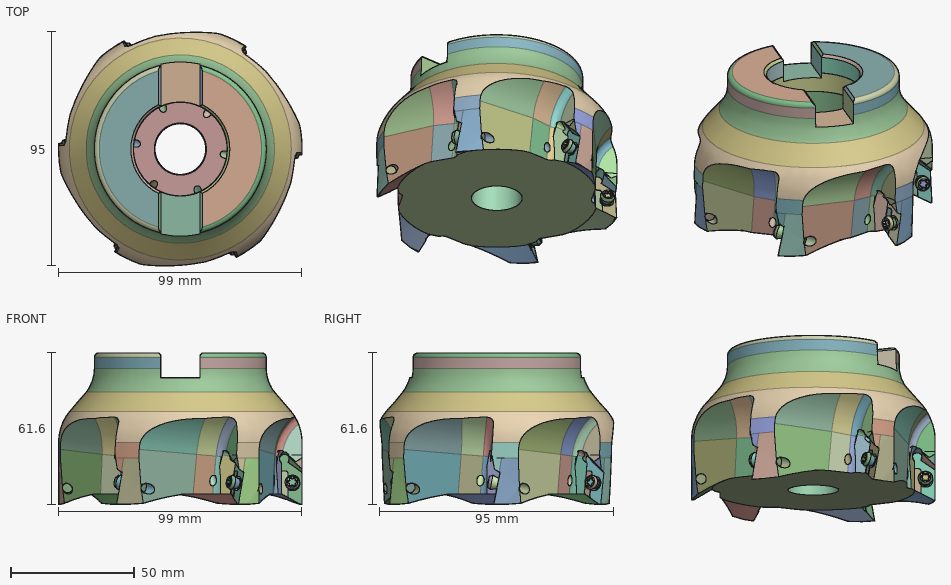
import cadquery as cq
import math

TOOTH_COUNT = 6
FIRST_TOOTH_ANGLE = -1.5
REACH = 79.2

HEIGHT = 61.6
RADIUS = 49.5
NECK_RADIUS = 35.0
TOP_ROUND = 2.0
NECK_BOTTOM = 55.2
SHOULDER_SLOPE = 38.5
NECK_FILLET = 15.3
SHOULDER_FILLET = 20.3
CYLINDER_TOP = 25.1
RIM_RADIUS = 48.8
DISH_RADIUS = 41.3
DISH_HEIGHT = 4.2

BORE_RADIUS = 19.0
BORE_CHAMFER = 1.1
BORE_FLOOR = 32.7
RELIEF_TOP = 53.7
RELIEF_BOTTOM = 45.5
RELIEF_DEPTH = 0.1
HOLE_RADIUS = 10.3
HOLE_CHAMFER = 0.3
SLOT_WIDTH = 15.8
SLOT_FLOOR = 51.5
SLOT_CHAMFER = 1.0

LAND_TOP = 18.8
LAND_OFFSET = 6.4
LAND_SPAN = 0.6

POCKET_TILT = -5.0
POCKET_TILT_AZIMUTH = -28.5
WALL_RADIUS = 37.8
CREASE_OFFSET = -15.1
WALL_BEND = 13.7
COVE_START = 20.8
COVE_RADIUS = 21.8
RAKE_OFFSET = -2.5
RAKE_TURN = 4.0
CORNER_FILLET = 3.0

SEAT_TILT = 11.0
SEAT_INNER = 41.0
SEAT_TOP = 19.4
SEAT_TOP_SLOPE = 36.5
SEAT_WALL_DRAFT = 18.0
SEAT_CUT_DEPTH = 5.9
CORNER_RELIEF_RADIUS = 2.0
CORNER_RELIEF_X = 42.2
CORNER_RELIEF_Y = 18.7
GROOVE_OUTER = 43.8
GROOVE_TOP = 13.9
GROOVE_DEPTH = 0.3
GROOVE_CORNER = 1.2
BEVEL_TOP = 20.0
BEVEL_OFFSET = -0.8
BEVEL_HEIGHT = 6.9
BEVEL_ANGLE = 11.0

SCREW_X = 45.5
SCREW_Y = 8.6
COUNTERSINK_RADIUS = 3.0
COUNTERSINK_DEPTH = 0.9
SHANK_RADIUS = 2.1
SCREW_END = 8.9
HEAD_RADIUS = 3.0
HEAD_FACE_RADIUS = 2.3
HEAD_HEIGHT = 4.0
HEAD_WIDEST = 2.6
SOCKET_RADIUS = 1.4
SOCKET_LOBE = 0.5
SOCKET_LOBE_COUNT = 6
SOCKET_DEPTH = 1.5

COOLANT_RADIUS = 1.5
COOLANT_INLET = (18.2, -1.8, BORE_FLOOR)
COOLANT_OUTLET = (38.2, -5.6, 9.7)
COOLANT_LEAD = 0.1
COOLANT_STRETCH = 1.3


def turned_blank():
    """Body of revolution with its bore and dished bottom."""
    slope = math.radians(SHOULDER_SLOPE)
    half = slope / 2
    neck_end = (
        NECK_RADIUS + NECK_FILLET * (1 - math.cos(slope)),
        NECK_BOTTOM - NECK_FILLET * math.sin(slope),
    )
    neck_mid = (
        NECK_RADIUS + NECK_FILLET * (1 - math.cos(half)),
        NECK_BOTTOM - NECK_FILLET * math.sin(half),
    )
    shoulder_start = (
        RADIUS - SHOULDER_FILLET * (1 - math.cos(slope)),
        CYLINDER_TOP + SHOULDER_FILLET * math.sin(slope),
    )
    shoulder_mid = (
        RADIUS - SHOULDER_FILLET * (1 - math.cos(half)),
        CYLINDER_TOP + SHOULDER_FILLET * math.sin(half),
    )
    relief_radius = BORE_RADIUS + RELIEF_DEPTH
    return (
        cq.Workplane("XZ")
        .moveTo(BORE_RADIUS + BORE_CHAMFER, HEIGHT)
        .lineTo(NECK_RADIUS - TOP_ROUND, HEIGHT)
        .radiusArc((NECK_RADIUS, HEIGHT - TOP_ROUND), TOP_ROUND)
        .lineTo(NECK_RADIUS, NECK_BOTTOM)
        .threePointArc(neck_mid, neck_end)
        .lineTo(*shoulder_start)
        .threePointArc(shoulder_mid, (RADIUS, CYLINDER_TOP))
        .lineTo(RADIUS, 0)
        .lineTo(RIM_RADIUS, 0)
        .lineTo(DISH_RADIUS, DISH_HEIGHT)
        .lineTo(HOLE_RADIUS, DISH_HEIGHT)
        .lineTo(HOLE_RADIUS, BORE_FLOOR - HOLE_CHAMFER)
        .lineTo(HOLE_RADIUS + HOLE_CHAMFER, BORE_FLOOR)
        .lineTo(BORE_RADIUS, BORE_FLOOR)
        .lineTo(BORE_RADIUS, RELIEF_BOTTOM)
        .lineTo(relief_radius, RELIEF_BOTTOM)
        .lineTo(relief_radius, RELIEF_TOP)
        .lineTo(BORE_RADIUS, RELIEF_TOP)
        .lineTo(BORE_RADIUS, HEIGHT - BORE_CHAMFER)
        .close()
        .revolve(360, (0, 0, 0), (0, 1, 0))
    )


def drive_slot():
    """Cutter for the slot across the top, with chamfered upper edges."""
    half = SLOT_WIDTH / 2
    return (
        cq.Workplane("XZ")
        .moveTo(-half, SLOT_FLOOR)
        .lineTo(half, SLOT_FLOOR)
        .lineTo(half, HEIGHT - SLOT_CHAMFER)
        .lineTo(half + SLOT_CHAMFER, HEIGHT)
        .lineTo(-half - SLOT_CHAMFER, HEIGHT)
        .lineTo(-half, HEIGHT - SLOT_CHAMFER)
        .close()
        .extrude(REACH, both=True)
    )


def cove_prism():
    """Straight run of pocket wall with its cove, along Y at the inner wall."""
    return (
        cq.Workplane("XZ")
        .moveTo(WALL_RADIUS, -REACH / 4)
        .lineTo(WALL_RADIUS, COVE_START)
        .radiusArc((WALL_RADIUS + COVE_RADIUS, COVE_START + COVE_RADIUS), COVE_RADIUS)
        .lineTo(REACH, COVE_START + COVE_RADIUS)
        .lineTo(REACH, -REACH / 4)
        .close()
        .extrude(REACH, both=True)
    )


def chip_pocket():
    """Cutter for one chip pocket: two walls with coves, closed by the rake face."""
    crease = (WALL_RADIUS, CREASE_OFFSET, 0)
    bent = cove_prism().rotate(crease, (WALL_RADIUS, CREASE_OFFSET, 1), -WALL_BEND)
    in_front_of_rake = (
        cq.Workplane("XY")
        .box(2 * REACH, 2 * REACH, 2 * REACH, centered=(True, False, True))
        .translate((RADIUS, RAKE_OFFSET - 2 * REACH, 0))
        .rotate((RADIUS, RAKE_OFFSET, 0), (RADIUS, RAKE_OFFSET, 1), RAKE_TURN)
    )
    corner = cq.selectors.BoxSelector(
        (WALL_RADIUS - CORNER_FILLET, -2 * CORNER_FILLET, -REACH),
        (WALL_RADIUS + COVE_RADIUS / 2, 0, REACH),
    )
    azimuth = math.radians(POCKET_TILT_AZIMUTH)
    tilt_axis = (math.cos(azimuth), math.sin(azimuth), 0)
    return (
        cove_prism()
        .union(bent)
        .intersect(in_front_of_rake)
        .edges(corner)
        .fillet(CORNER_FILLET)
        .rotate((0, 0, 0), tilt_axis, POCKET_TILT)
    )


def seat_plane(offset=0.0):
    """Workplane on the insert seat floor, or parallel to it and further out."""
    tilt = math.radians(SEAT_TILT)
    outward = (0, -math.cos(tilt), math.sin(tilt))
    origin = tuple(offset * component for component in outward)
    return cq.Workplane(cq.Plane(origin=origin, xDir=(1, 0, 0), normal=outward))


def insert_seat():
    """Cutter for the insert seat, its corner relief, floor groove and bevel above."""
    outer = RADIUS + SEAT_CUT_DEPTH
    drop = (outer - SEAT_INNER) * math.tan(math.radians(SEAT_TOP_SLOPE))
    pocket = (
        seat_plane()
        .polyline([
            (SEAT_INNER, -SEAT_CUT_DEPTH),
            (outer, -SEAT_CUT_DEPTH),
            (outer, SEAT_TOP - drop),
            (SEAT_INNER, SEAT_TOP),
        ])
        .close()
        .extrude(SEAT_CUT_DEPTH, taper=-SEAT_WALL_DRAFT)
    )
    corner_relief = (
        seat_plane()
        .center(CORNER_RELIEF_X, CORNER_RELIEF_Y)
        .circle(CORNER_RELIEF_RADIUS)
        .extrude(SEAT_CUT_DEPTH)
    )
    groove = (
        seat_plane(-GROOVE_DEPTH)
        .moveTo(SEAT_INNER, -SEAT_CUT_DEPTH)
        .lineTo(GROOVE_OUTER, -SEAT_CUT_DEPTH)
        .lineTo(GROOVE_OUTER, GROOVE_TOP - GROOVE_CORNER)
        .radiusArc((GROOVE_OUTER - GROOVE_CORNER, GROOVE_TOP), -GROOVE_CORNER)
        .lineTo(SEAT_INNER, GROOVE_TOP)
        .close()
        .extrude(2 * GROOVE_DEPTH)
    )
    bevel_depth = BEVEL_HEIGHT * math.tan(math.radians(BEVEL_ANGLE))
    bevel_bottom = BEVEL_TOP - BEVEL_HEIGHT
    bevel = (
        cq.Workplane("YZ", origin=(CORNER_RELIEF_X, 0, 0))
        .polyline([
            (BEVEL_OFFSET, BEVEL_TOP),
            (BEVEL_OFFSET + bevel_depth, bevel_bottom),
            (BEVEL_OFFSET - bevel_depth, bevel_bottom),
        ])
        .close()
        .extrude(REACH)
    )
    return pocket.union(corner_relief).union(groove).union(bevel)


def land_relief():
    """Cutter that clears the lower land behind the tip, growing downward and backward."""
    clear_radius = math.hypot(RADIUS, LAND_OFFSET)
    land = (
        cq.Workplane("XY", origin=(0, -LAND_OFFSET, 0))
        .circle(clear_radius)
        .workplane(offset=LAND_TOP)
        .center(0, LAND_OFFSET)
        .circle(RADIUS)
        .loft(ruled=True)
    )
    return (
        cq.Workplane("XY")
        .box(RADIUS, RADIUS * LAND_SPAN, LAND_TOP, centered=(True, False, False))
        .translate((RADIUS, -RADIUS * LAND_SPAN / 2, 0))
        .cut(land)
    )


def screw_hole():
    """Cutter for the countersunk screw hole, from the seat floor through the tooth."""
    hole = seat_plane(GROOVE_DEPTH).center(SCREW_X, SCREW_Y).circle(SHANK_RADIUS).extrude(-REACH / 4)
    countersink = cq.Workplane(
        cq.Solid.makeCone(
            COUNTERSINK_RADIUS,
            SHANK_RADIUS,
            COUNTERSINK_DEPTH,
            seat_plane().plane.toWorldCoords((SCREW_X, SCREW_Y, 0)),
            -seat_plane().plane.zDir,
        )
    )
    return hole.union(countersink)


def coolant_hole():
    """Cutter for the slanted hole from the bore floor to the pocket wall."""
    inlet = cq.Vector(*COOLANT_INLET)
    path = cq.Vector(*COOLANT_OUTLET) - inlet
    start = inlet - path * COOLANT_LEAD
    return cq.Workplane(
        cq.Solid.makeCylinder(COOLANT_RADIUS, path.Length * COOLANT_STRETCH, start, path)
    )


def clamping_screw():
    """Screw with a double-tapered head, standing out of the seat floor."""
    axis_origin = seat_plane().plane.toWorldCoords((SCREW_X, SCREW_Y, 0))
    outward = seat_plane().plane.zDir
    side = cq.Plane(origin=axis_origin, xDir=(1, 0, 0), normal=cq.Vector(1, 0, 0).cross(outward))
    shape = (
        cq.Workplane(side)
        .polyline([
            (0, -SCREW_END),
            (SHANK_RADIUS, -SCREW_END),
            (SHANK_RADIUS, 0),
            (HEAD_RADIUS, HEAD_WIDEST),
            (HEAD_FACE_RADIUS, HEAD_HEIGHT),
            (0, HEAD_HEIGHT),
        ])
        .close()
        .revolve(360, (0, 0, 0), (0, 1, 0))
    )
    face = seat_plane(HEAD_HEIGHT).center(SCREW_X, SCREW_Y)
    socket = face.circle(SOCKET_RADIUS).extrude(-SOCKET_DEPTH)
    lobes = (
        face.polarArray(SOCKET_RADIUS, 0, 360, SOCKET_LOBE_COUNT)
        .circle(SOCKET_LOBE)
        .extrude(-SOCKET_DEPTH)
    )
    return shape.cut(socket.union(lobes))


def at_tooth(tool, index):
    """Turn a shape from the tooth frame to the given tooth."""
    return tool.rotate((0, 0, 0), (0, 0, 1), FIRST_TOOTH_ANGLE + index * 360 / TOOTH_COUNT)


cutter_body = turned_blank().cut(drive_slot())
for tool in (chip_pocket(), insert_seat(), land_relief(), screw_hole(), coolant_hole()):
    for tooth in range(TOOTH_COUNT):
        cutter_body = cutter_body.cut(at_tooth(tool, tooth))

screw = clamping_screw()
screws = [at_tooth(screw, tooth).val() for tooth in range(TOOTH_COUNT)]

result = cq.Compound.makeCompound([cutter_body.val(), *screws])